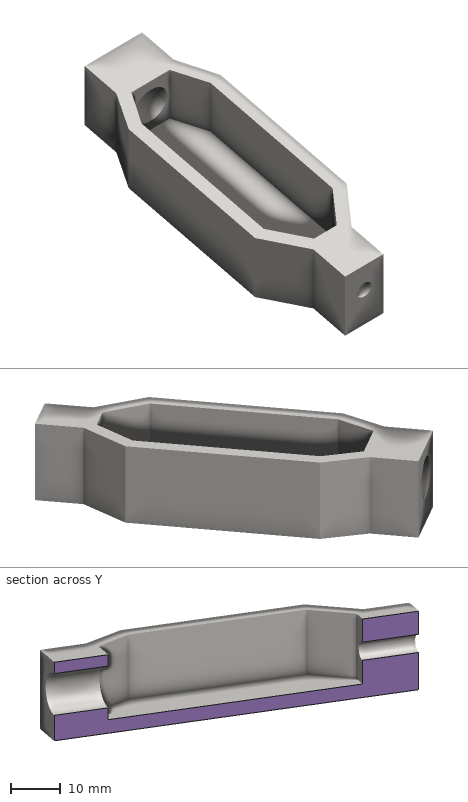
import cadquery as cq

length = 79.3
width = 24.0
height = 17.0

neck_length = 10.0
left_neck_width = 15.0
right_neck_width = 10.0
body_start = 19.35
body_end = 59.3

wall = 3.0
floor = 3.0
pocket_start = 11.7
pocket_end = 67.0
pocket_wide_start = 19.8
pocket_wide_end = 58.45
pocket_left_width = 10.0
pocket_right_width = 5.95
pocket_width = width - 2 * wall

bore_height = 10.0
left_bore_diameter = 8.9
right_bore_diameter = 3.8


def symmetric_prism(stations, bottom, top):
    """Extrude an outline given as (x, full width) stations, mirrored about the X axis."""
    near_side = [(x, -full_width / 2) for x, full_width in stations]
    far_side = [(x, full_width / 2) for x, full_width in reversed(stations)]
    outline = cq.Workplane("XY").workplane(offset=bottom).polyline(near_side + far_side).close()
    return outline.extrude(top - bottom)


def bore(start, end, diameter):
    """Cylinder along X between two X positions."""
    section = cq.Workplane("YZ", origin=(start, 0, bore_height)).circle(diameter / 2)
    return section.extrude(end - start)


body = symmetric_prism(
    [
        (0, left_neck_width),
        (neck_length, left_neck_width),
        (body_start, width),
        (body_end, width),
        (length - neck_length, right_neck_width),
        (length, right_neck_width),
    ],
    0,
    height,
)

pocket = symmetric_prism(
    [
        (pocket_start, pocket_left_width),
        (pocket_wide_start, pocket_width),
        (pocket_wide_end, pocket_width),
        (pocket_end, pocket_right_width),
    ],
    floor,
    height,
)

middle = length / 2
left_bore = bore(0, middle, left_bore_diameter)
right_bore = bore(middle, length, right_bore_diameter)

result = body.cut(pocket).cut(left_bore).cut(right_bore)